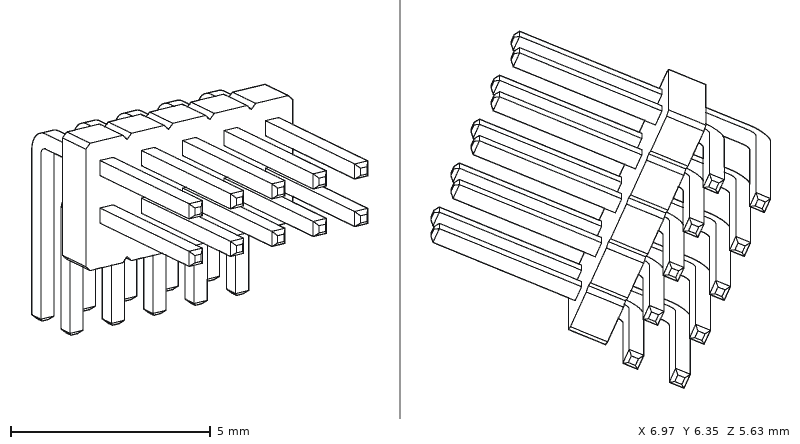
import cadquery as cq


total_length = 6.97
total_width = 6.35
total_height = 5.63

pins_per_row = 5
row_count = 2
pitch = total_width / pins_per_row

pin_width = 0.405
bend_outer_radius = 0.6
bend_inner_radius = bend_outer_radius - pin_width
tip_chamfer = 0.105

body_start = 1.96
body_thickness = 1.02
body_height = 3.4
body_chamfer = 0.13
pin_below_body_top = 0.52

body_bottom = total_height - body_height
outer_row_top = total_height - pin_below_body_top
first_pin_y = -pitch * (pins_per_row - 1) / 2


def make_body():
    """One chamfered block per pin column; touching chamfers form the V notches."""
    body = cq.Workplane("XY")
    for column in range(pins_per_row):
        block = (
            cq.Workplane("XY")
            .box(body_thickness, pitch, body_height, centered=(False, True, False))
            .edges("|X")
            .chamfer(body_chamfer)
            .translate((body_start, first_pin_y + column * pitch, body_bottom))
        )
        body = body.union(block)
    return body


def make_pin(leg_x, top_z):
    """Bent square pin, centred on Y = 0, with chamfered ends."""
    return (
        cq.Workplane("XZ")
        .moveTo(leg_x, 0)
        .lineTo(leg_x, top_z - bend_outer_radius)
        .radiusArc((leg_x + bend_outer_radius, top_z), bend_outer_radius)
        .lineTo(total_length, top_z)
        .lineTo(total_length, top_z - pin_width)
        .lineTo(leg_x + bend_outer_radius, top_z - pin_width)
        .radiusArc((leg_x + pin_width, top_z - bend_outer_radius), -bend_inner_radius)
        .lineTo(leg_x + pin_width, 0)
        .close()
        .extrude(pin_width / 2, both=True)
        .faces(">X or <Z")
        .edges()
        .chamfer(tip_chamfer)
    )


result = make_body()
for row in range(row_count):
    pin = make_pin(row * pitch, outer_row_top - row * pitch)
    for column in range(pins_per_row):
        result = result.union(pin.translate((0, first_pin_y + column * pitch, 0)))